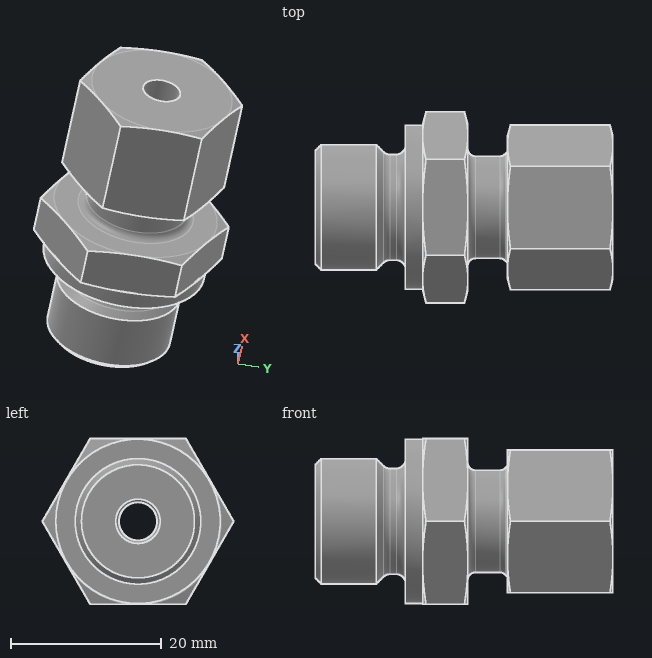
import cadquery as cq
import math

thread_end = 8.1
groove_floor_end = 10.75
flange_start = 11.93
body_hex_start = 14.25
body_hex_end = 20.25
neck_cone_start = 25.2
nut_start = 25.5
nut_mouth_end = 27.25
total_length = 39.5

thread_radius = 16.65 / 2
thread_chamfer = 0.83
groove_radius = 14.05 / 2
groove_blend_radius = 1.25
flange_radius = 21.8 / 2
neck_radius = 13.6 / 2
neck_blend_radius = 1.0
neck_shoulder_radius = 7.85
nut_mouth_radius = 8.35
bore_radius = 5.0 / 2
bore_chamfer = 0.45

body_across_flats = 22.0
nut_across_flats = 18.95
hex_chamfer_angle = math.radians(15)

SIN_45 = math.sqrt(0.5)
HALF_ARC_LENGTH = math.sin(math.radians(22.5))
HALF_ARC_HEIGHT = 1 - math.cos(math.radians(22.5))
ARC_HEIGHT = 1 - SIN_45

neck_cone_radius = neck_radius + neck_blend_radius * ARC_HEIGHT
neck_cone_end = neck_cone_start + neck_shoulder_radius - neck_cone_radius


def threaded_end():
    """Stud with end chamfer, relief groove and sealing flange."""
    blend = groove_blend_radius
    cone_end_radius = groove_radius + blend * ARC_HEIGHT
    cone_end = thread_end + thread_radius - cone_end_radius
    floor_start = cone_end + blend * SIN_45
    flange_arc = math.asin((flange_start - groove_floor_end) / blend)
    return (
        cq.Workplane("XY")
        .moveTo(0, 0)
        .lineTo(0, thread_radius - thread_chamfer)
        .lineTo(thread_chamfer, thread_radius)
        .lineTo(thread_end, thread_radius)
        .lineTo(cone_end, cone_end_radius)
        .threePointArc(
            (floor_start - blend * HALF_ARC_LENGTH, groove_radius + blend * HALF_ARC_HEIGHT),
            (floor_start, groove_radius),
        )
        .lineTo(groove_floor_end, groove_radius)
        .threePointArc(
            (
                groove_floor_end + blend * math.sin(flange_arc / 2),
                groove_radius + blend * (1 - math.cos(flange_arc / 2)),
            ),
            (flange_start, groove_radius + blend * (1 - math.cos(flange_arc))),
        )
        .lineTo(flange_start, flange_radius)
        .lineTo(body_hex_start, flange_radius)
        .lineTo(body_hex_start, 0)
        .close()
        .revolve(360, (0, 0, 0), (1, 0, 0))
    )


def neck():
    """Round neck between the hexagons, flared at both ends, with a shoulder inside the nut."""
    blend = neck_blend_radius
    floor_start = body_hex_end + blend
    floor_end = neck_cone_start - blend * SIN_45
    return (
        cq.Workplane("XY")
        .moveTo(body_hex_end, 0)
        .lineTo(body_hex_end, neck_radius + blend)
        .threePointArc(
            (floor_start - blend * SIN_45, neck_radius + blend * ARC_HEIGHT),
            (floor_start, neck_radius),
        )
        .lineTo(floor_end, neck_radius)
        .threePointArc(
            (floor_end + blend * HALF_ARC_LENGTH, neck_radius + blend * HALF_ARC_HEIGHT),
            (neck_cone_start, neck_cone_radius),
        )
        .lineTo(neck_cone_end, neck_shoulder_radius)
        .lineTo(nut_mouth_end, neck_shoulder_radius)
        .lineTo(nut_mouth_end, 0)
        .close()
        .revolve(360, (0, 0, 0), (1, 0, 0))
    )


def chamfered_hex(start, end, across_flats):
    """Hexagon along X whose corners are turned down by a cone at each end."""
    flat_radius = across_flats / 2
    corner_radius = flat_radius / math.cos(math.radians(30))
    chamfer_length = (corner_radius - flat_radius) * math.tan(hex_chamfer_angle)
    prism = (
        cq.Workplane("YZ", origin=(start, 0, 0))
        .polygon(6, 2 * corner_radius)
        .extrude(end - start)
    )
    turned_envelope = (
        cq.Workplane("XY")
        .moveTo(start, 0)
        .lineTo(start, flat_radius)
        .lineTo(start + chamfer_length, corner_radius)
        .lineTo(end - chamfer_length, corner_radius)
        .lineTo(end, flat_radius)
        .lineTo(end, 0)
        .close()
        .revolve(360, (0, 0, 0), (1, 0, 0))
    )
    return prism.intersect(turned_envelope)


def nut_mouth():
    """Round recess in the nut around the shoulder of the neck."""
    return (
        cq.Workplane("YZ", origin=(nut_start, 0, 0))
        .circle(nut_mouth_radius)
        .extrude(nut_mouth_end - nut_start)
    )


def bore():
    """Through bore with a countersunk mouth at the threaded end."""
    return (
        cq.Workplane("XY")
        .moveTo(0, 0)
        .lineTo(0, bore_radius + bore_chamfer)
        .lineTo(bore_chamfer, bore_radius)
        .lineTo(total_length, bore_radius)
        .lineTo(total_length, 0)
        .close()
        .revolve(360, (0, 0, 0), (1, 0, 0))
    )


body_hex = chamfered_hex(body_hex_start, body_hex_end, body_across_flats)
nut = chamfered_hex(nut_start, total_length, nut_across_flats).cut(nut_mouth())
result = threaded_end().union(body_hex).union(neck()).union(nut).cut(bore())